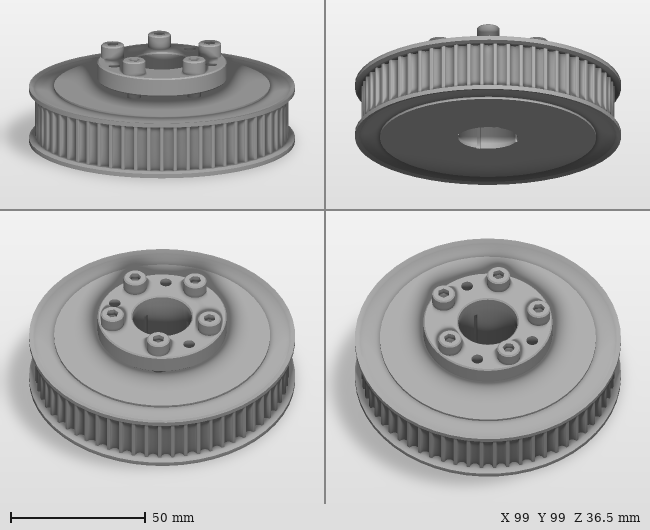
import cadquery as cq
import math

PULLEY_HEIGHT = 22.0
HUB_DISC_RADIUS = 40.2
TOOTH_COUNT = 60
TOOTH_TIP_RADIUS = 47.1
GROOVE_DEPTH = 2.1
GROOVE_RADIUS = 1.8
TOOTH_TIP_FILLET = 0.3

FLANGE_RADIUS = 49.5
FLANGE_BEND_RADIUS = 47.5
FLANGE_THICKNESS = 1.6
FLANGE_LEAN = 0.5
FLANGE_RECESS = 0.9

SLEEVE_RADIUS = 12.5
SLEEVE_END_RADIUS = 11.7
NECK_LENGTH = 0.4
BORE_RADIUS = 11.1
BORE_CHAMFER = 0.5
COLLAR_DIAMETER = 48.0
COLLAR_THICKNESS = 7.0
COLLAR_CHAMFER = 0.5
COLLAR_GAP = 2.5
SLIT_COUNT = 4
SLIT_WIDTH = 1.5
SLIT_TOP_CLEARANCE = 1.0

SCREW_COUNT = 5
BOLT_CIRCLE_RADIUS = 19.0
FIRST_SCREW_ANGLE = 90
SHANK_RADIUS = 2.5
SHANK_LENGTH = 16.0
HEAD_RADIUS = 4.3
HEAD_HEIGHT = 5.0
HEAD_CHAMFER = 0.5
SOCKET_SIDES = 6
SOCKET_ACROSS_FLATS = 4.0
SOCKET_DEPTH = 2.5
SOCKET_CONE_DEPTH = 0.6
JACKING_HOLE_RADIUS = 2.2
JACKING_HOLE_ANGLES = (54, 126, 270)

COLLAR_BOTTOM = PULLEY_HEIGHT + COLLAR_GAP
COLLAR_TOP = COLLAR_BOTTOM + COLLAR_THICKNESS
TAPER_TOP = COLLAR_BOTTOM - NECK_LENGTH
SCREW_END = COLLAR_TOP - SHANK_LENGTH
TOOTH_BOTTOM = FLANGE_RECESS + FLANGE_THICKNESS
TOOTH_TOP = PULLEY_HEIGHT - TOOTH_BOTTOM
SCREW_ANGLES = [FIRST_SCREW_ANGLE + i * 360 / SCREW_COUNT for i in range(SCREW_COUNT)]


def polar(radius, angle):
    """Point at a radius and an angle in radians about the pulley axis."""
    return (radius * math.cos(angle), radius * math.sin(angle))


def point_between(start, end, fraction):
    return tuple(a + (b - a) * fraction for a, b in zip(start, end))


def cylinder(radius, bottom, top):
    return cq.Workplane("XY").workplane(offset=bottom).circle(radius).extrude(top - bottom)


def on_bolt_circle(radius, bottom, top, angles):
    """Round rods standing on the bolt circle."""
    places = [polar(BOLT_CIRCLE_RADIUS, math.radians(angle)) for angle in angles]
    plane = cq.Workplane("XY").workplane(offset=bottom)
    return plane.pushPoints(places).circle(radius).extrude(top - bottom)


def make_taper():
    """Solid cone that fills the sleeve and its matching seat in the pulley."""
    return cq.Workplane(cq.Solid.makeCone(SLEEVE_END_RADIUS, SLEEVE_RADIUS, TAPER_TOP))


def make_toothed_rim():
    """Round-bottomed grooves joined to the tooth tips by tangent fillets."""
    pitch = 2 * math.pi / TOOTH_COUNT
    root_radius = TOOTH_TIP_RADIUS - GROOVE_DEPTH
    groove_centre_radius = root_radius + GROOVE_RADIUS
    fillet_centre_radius = TOOTH_TIP_RADIUS - TOOTH_TIP_FILLET
    centre_distance = GROOVE_RADIUS + TOOTH_TIP_FILLET
    fillet_angle = math.acos(
        (groove_centre_radius**2 + fillet_centre_radius**2 - centre_distance**2)
        / (2 * groove_centre_radius * fillet_centre_radius)
    )

    def fillet_points(middle, side):
        """Tip end, middle and groove end of the fillet on one side of a groove."""
        groove_centre = polar(groove_centre_radius, middle)
        angle = middle + side * fillet_angle
        centre = polar(fillet_centre_radius, angle)
        tip_end = polar(TOOTH_TIP_RADIUS, angle)
        groove_end = point_between(centre, groove_centre, TOOTH_TIP_FILLET / centre_distance)
        chord_middle = point_between(tip_end, groove_end, 0.5)
        reach = TOOTH_TIP_FILLET / math.dist(centre, chord_middle)
        return tip_end, point_between(centre, chord_middle, reach), groove_end

    first_tip = fillet_points(0, -1)[0]
    outline = cq.Workplane("XY").workplane(offset=TOOTH_BOTTOM).moveTo(*first_tip)
    for i in range(TOOTH_COUNT):
        middle = i * pitch
        tip_in, fillet_in, groove_in = fillet_points(middle, -1)
        tip_out, fillet_out, groove_out = fillet_points(middle, 1)
        next_tip = fillet_points(middle + pitch, -1)[0]
        outline = outline.threePointArc(fillet_in, groove_in)
        outline = outline.threePointArc(polar(root_radius, middle), groove_out)
        outline = outline.threePointArc(fillet_out, tip_out)
        outline = outline.threePointArc(polar(TOOTH_TIP_RADIUS, middle + pitch / 2), next_tip)
    return outline.close().extrude(TOOTH_TOP - TOOTH_BOTTOM)


def make_pulley():
    disc = cylinder(HUB_DISC_RADIUS, 0, PULLEY_HEIGHT)
    pulley = make_toothed_rim().union(disc)
    pulley = pulley.cut(make_taper())
    return pulley.cut(on_bolt_circle(SHANK_RADIUS, SCREW_END, PULLEY_HEIGHT, SCREW_ANGLES))


def make_flange(belt_side, outward):
    """Flange with its flat inner face at belt_side; outward is +1 (up) or -1 (down)."""
    outer_side = belt_side + outward * FLANGE_THICKNESS
    lean = outward * FLANGE_LEAN
    section = cq.Workplane("XZ").polyline([
        (HUB_DISC_RADIUS, belt_side),
        (FLANGE_BEND_RADIUS, belt_side),
        (FLANGE_RADIUS, belt_side + lean),
        (FLANGE_RADIUS, outer_side + lean),
        (FLANGE_BEND_RADIUS, outer_side),
        (HUB_DISC_RADIUS, outer_side),
    ]).close()
    return section.revolve(360, (0, 0), (0, 1))


def make_bush():
    collar = cylinder(COLLAR_DIAMETER / 2, COLLAR_BOTTOM, COLLAR_TOP).edges().chamfer(COLLAR_CHAMFER)
    neck = cylinder(SLEEVE_RADIUS, TAPER_TOP, COLLAR_BOTTOM)
    bush = collar.union(neck).union(make_taper())
    bush = bush.cut(cylinder(BORE_RADIUS, 0, COLLAR_TOP))
    bore_rim = bush.faces(">Z").edges(cq.selectors.RadiusNthSelector(0))
    bush = bore_rim.chamfer(BORE_CHAMFER)

    slit_top = COLLAR_BOTTOM - SLIT_TOP_CLEARANCE
    for i in range(SLIT_COUNT):
        slit = cq.Workplane("XY").box(SLEEVE_RADIUS, SLIT_WIDTH, slit_top, centered=(False, True, False))
        bush = bush.cut(slit.rotate((0, 0, 0), (0, 0, 1), i * 360 / SLIT_COUNT))

    bush = bush.cut(on_bolt_circle(SHANK_RADIUS, COLLAR_BOTTOM, COLLAR_TOP, SCREW_ANGLES))
    return bush.cut(on_bolt_circle(JACKING_HOLE_RADIUS, COLLAR_BOTTOM, COLLAR_TOP, JACKING_HOLE_ANGLES))


def make_screw(angle):
    """Socket head cap screw, with a corner of its hexagon pointing outward."""
    head_top = COLLAR_TOP + HEAD_HEIGHT
    head = cylinder(HEAD_RADIUS, COLLAR_TOP, head_top).faces(">Z").edges().chamfer(HEAD_CHAMFER)
    screw = head.union(cylinder(SHANK_RADIUS, SCREW_END, COLLAR_TOP))

    across_corners = SOCKET_ACROSS_FLATS / math.cos(math.pi / SOCKET_SIDES)
    hexagon = cq.Workplane("XY").workplane(offset=head_top).polygon(SOCKET_SIDES, across_corners)
    socket_floor = head_top - SOCKET_DEPTH
    drill_point = cq.Solid.makeCone(
        SOCKET_ACROSS_FLATS / 2, 0, SOCKET_CONE_DEPTH, cq.Vector(0, 0, socket_floor), cq.Vector(0, 0, -1)
    )
    screw = screw.cut(hexagon.extrude(-SOCKET_DEPTH)).cut(cq.Workplane(drill_point))
    return screw.translate((BOLT_CIRCLE_RADIUS, 0, 0)).rotate((0, 0, 0), (0, 0, 1), angle)


pulley = make_pulley()
lower_flange = make_flange(TOOTH_BOTTOM, -1)
upper_flange = make_flange(TOOTH_TOP, 1)
bush = make_bush()
screws = [make_screw(angle) for angle in SCREW_ANGLES]

result = cq.Compound.makeCompound([
    pulley.val(),
    lower_flange.val(),
    upper_flange.val(),
    bush.val(),
    *[screw.val() for screw in screws],
])